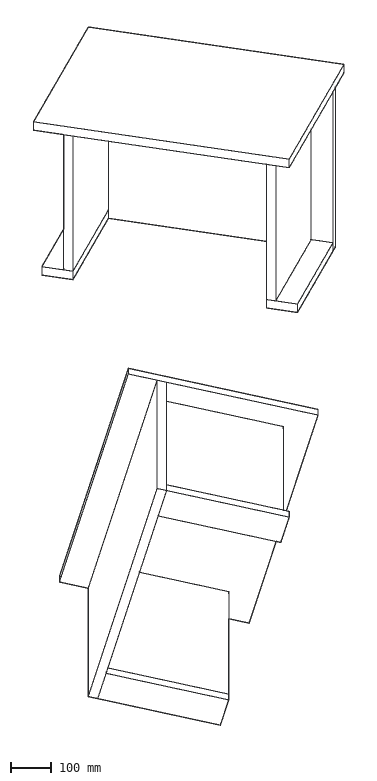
import cadquery as cq

top_width = 650.0
top_depth = 480.0
total_height = 474.0
board = 24.0
base_depth = 334.0
side_inset = 55.0

under_top = total_height - board
base_front = -base_depth / 2
side_depth = base_depth - board
foot_width = side_inset + board


def make_board(width, depth, height, x, y, z):
    """Box centred on x, with its front face at y and its underside at z."""
    return cq.Workplane("XY").box(width, depth, height, centered=(True, False, False)).translate((x, y, z))


def make_table_top():
    return make_board(top_width, top_depth, board, 0, -top_depth / 2, under_top)


def make_back_board():
    """Full-width upright that closes the rear, from the floor to the top."""
    return make_board(top_width, board, under_top, 0, base_front + side_depth, 0)


def make_side_board(side):
    """Upright that stands on the inner edge of a foot, in front of the back board."""
    x = side * (top_width / 2 - side_inset - board / 2)
    return make_board(board, side_depth, under_top - board, x, base_front, board)


def make_foot(side):
    """Floor strip reaching from the end of the table to the inner face of a side board."""
    x = side * (top_width - foot_width) / 2
    return make_board(foot_width, side_depth, board, x, base_front, 0)


table_top = make_table_top()
back_board = make_back_board()
side_boards = [make_side_board(side) for side in (-1, 1)]
feet = [make_foot(side) for side in (-1, 1)]

result = cq.Compound.makeCompound([
    table_top.val(),
    back_board.val(),
    *[side_board.val() for side_board in side_boards],
    *[foot.val() for foot in feet],
])